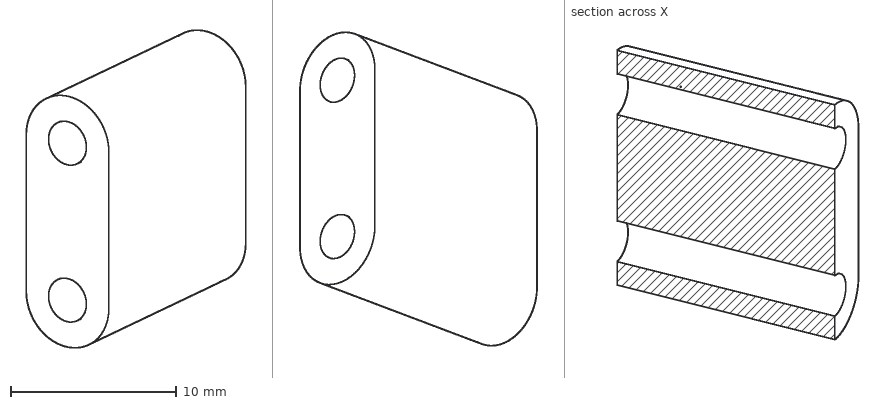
import cadquery as cq

height = 16.0
width = 6.0
depth = 15.0
hole_diameter = 2.75

hole_spacing = height - width

body = (
    cq.Workplane("XZ")
    .slot2D(height, width, angle=90)
    .extrude(depth / 2, both=True)
)

holes = (
    cq.Workplane("XZ")
    .pushPoints([(0, -hole_spacing / 2), (0, hole_spacing / 2)])
    .circle(hole_diameter / 2)
    .extrude(depth / 2, both=True)
)

result = body.cut(holes)